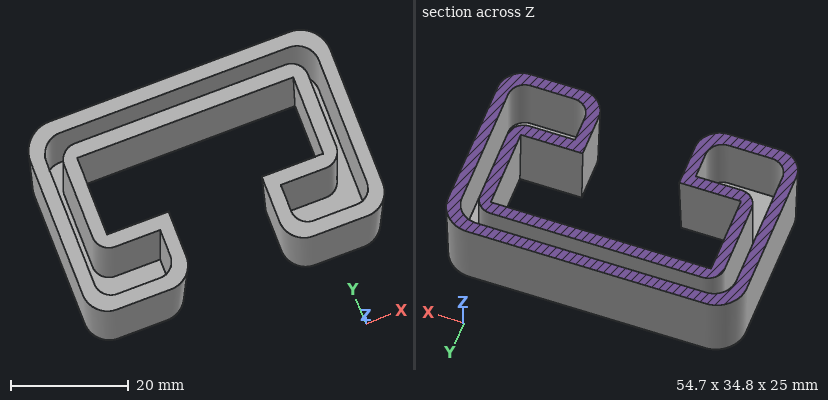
import cadquery as cq
import math

width = 54.7
depth = 34.8
height = 25.0

band = 7.65
window_depth = 14.3
mouth = 16.95
wall = 2.5
draft_angle = 1.2

back_radius = 5.45
foot_radius = 4.5
cavity_back_radius = 4.0
cavity_radius = 3.0

back_y = depth / 2
front_y = -depth / 2
window_x = width / 2 - band
window_back_y = back_y - band
window_front_y = window_back_y - window_depth
middle_y = (window_back_y + window_front_y) / 2


def c_outline(inset):
    """Corners of the C section, with every side moved into the material by inset."""
    right_half = [
        (width / 2 - inset, back_y - inset),
        (width / 2 - inset, front_y + inset),
        (mouth / 2 + inset, front_y + inset),
        (mouth / 2 + inset, window_front_y - inset),
        (window_x + inset, window_front_y - inset),
        (window_x + inset, window_back_y + inset),
    ]
    left_half = [(-x, y) for x, y in reversed(right_half)]
    return right_half + left_half


def round_upright_edges(solid, is_wanted, radius):
    """Fillet the wall edges whose midpoint passes the test."""
    upright_edges = solid.edges("not #Z")
    return upright_edges.filter(lambda edge: is_wanted(edge.Center())).fillet(radius)


def is_back_corner(point):
    return point.y > back_y - band / 2


def is_foot_corner(point):
    return point.y < (front_y + window_front_y) / 2


def is_window_corner(point):
    return abs(point.x) > window_x and abs(point.y - middle_y) < window_depth / 2 + band / 2


def make_body():
    """Drafted outer block; the window and mouth corners stay sharp."""
    bottom_inset = height * math.tan(math.radians(draft_angle))
    block = (
        cq.Workplane("XY")
        .polyline(c_outline(bottom_inset))
        .close()
        .workplane(offset=height)
        .polyline(c_outline(0))
        .close()
        .loft(ruled=True)
    )
    block = round_upright_edges(block, is_back_corner, back_radius)
    return round_upright_edges(block, is_foot_corner, foot_radius)


def make_cavity():
    """Straight-sided cavity, open at the top; its corners behind the feet stay sharp."""
    floor = cq.Workplane("XY").workplane(offset=wall)
    cavity = floor.polyline(c_outline(wall)).close().extrude(height - wall)
    cavity = round_upright_edges(cavity, is_window_corner, cavity_radius)
    cavity = round_upright_edges(cavity, is_back_corner, cavity_back_radius)
    return round_upright_edges(cavity, is_foot_corner, cavity_radius)


result = make_body().cut(make_cavity())